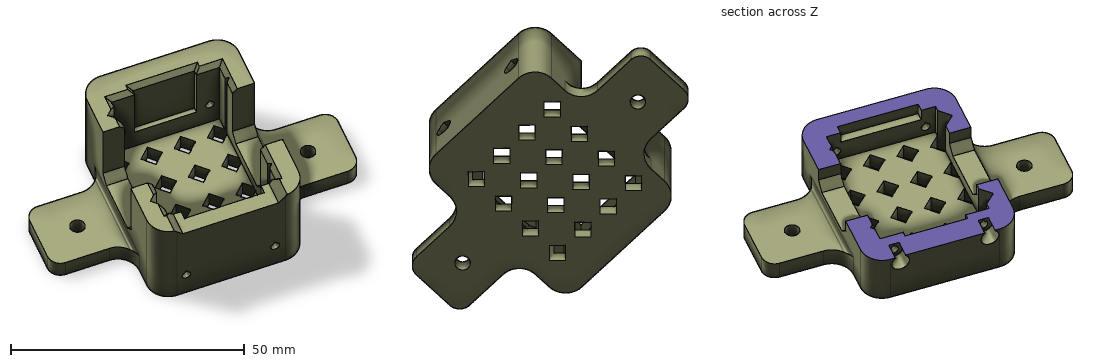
import cadquery as cq
import math

body_length = 44.0
body_width = 34.9
body_height = 23.5
body_corner_radius = 5.0

overall_width = 71.0
ear_width = 16.05
ear_thickness = 4.3
ear_corner_radius = 3.0
ear_side_radius = 5.0
ear_root_fillet = 1.0
ear_hole_diameter = 3.3
ear_hole_spacing = 53.1

cavity_length = 31.9
cavity_width = 24.85
cavity_offset_x = 0.5
cavity_offset_y = -0.1
cavity_floor = 3.8
rim_chamfer = 1.15
cavity_left = cavity_offset_x - cavity_length / 2
cavity_right = cavity_offset_x + cavity_length / 2

recess_floor = 8.95
left_recess_depth = 1.15
left_recess_width = 14.2
right_recess_depth = 1.9
right_recess_width = 18.4

wall_drop = 2.0
wall_drop_width = 22.0

slot_width = ear_width
slot_floor = 6.7
slot_chamfer = 2.0

diamond_diagonal = 4.9
diamond_count = 4
diamond_pitch_x = 8.2
diamond_pitch_y = 7.7
diamond_offset_y = -0.9

screw_hole_diameter = 2.0
screw_head_diameter = 4.05
screw_head_depth = 4.0
screw_spacing = 20.45
left_screw_height = 10.0
right_screw_height = 6.25


def block(x_min, x_max, y_min, y_max, z_min, z_max):
    """Box given by its limits along each axis."""
    size = (x_max - x_min, y_max - y_min, z_max - z_min)
    return cq.Workplane("XY").box(*size, centered=False).translate((x_min, y_min, z_min))


def make_body():
    outline = cq.Workplane("XY").rect(body_length, body_width)
    return outline.extrude(body_height).edges("|Z").fillet(body_corner_radius)


def make_ears():
    """Both ears, as one strip that runs through under the body."""
    half_ear = ear_width / 2
    half_body = body_width / 2
    half_overall = overall_width / 2
    root_height = ear_thickness + ear_root_fillet

    strip = cq.Workplane("XY").rect(ear_width, overall_width).extrude(root_height)
    strip = strip.edges("|Z").fillet(ear_corner_radius)
    for side_x in (-1, 1):
        for side_y in (-1, 1):
            root_x = side_x * (half_ear + ear_side_radius)
            blend_y = side_y * (half_body + ear_side_radius)
            gusset = (
                cq.Workplane("XY")
                .moveTo(0, side_y * half_body)
                .lineTo(root_x, side_y * half_body)
                .radiusArc((side_x * half_ear, blend_y), side_x * side_y * ear_side_radius)
                .lineTo(0, blend_y)
                .close()
                .extrude(root_height)
            )
            strip = strip.union(gusset)

    fillet_y = half_body + ear_root_fillet
    side_profile = (
        cq.Workplane("YZ")
        .moveTo(-half_overall, 0)
        .lineTo(half_overall, 0)
        .lineTo(half_overall, ear_thickness)
        .lineTo(fillet_y, ear_thickness)
        .radiusArc((half_body, root_height), ear_root_fillet)
        .lineTo(-half_body, root_height)
        .radiusArc((-fillet_y, ear_thickness), ear_root_fillet)
        .lineTo(-half_overall, ear_thickness)
        .close()
        .extrude(body_length / 2, both=True)
    )
    holes = (
        cq.Workplane("XY")
        .pushPoints([(0, -ear_hole_spacing / 2), (0, ear_hole_spacing / 2)])
        .circle(ear_hole_diameter / 2)
        .extrude(root_height)
    )
    return strip.intersect(side_profile).cut(holes)


def flared_opening(x_min, x_max, width, floor):
    """Rectangular opening down to `floor` whose rim is chamfered at the body top."""
    opening = block(x_min, x_max, -width / 2, width / 2, floor, body_height)
    length = x_max - x_min
    flare = (
        cq.Workplane("XY", origin=((x_min + x_max) / 2, 0, body_height - rim_chamfer))
        .rect(length, width)
        .workplane(offset=rim_chamfer)
        .rect(length + 2 * rim_chamfer, width + 2 * rim_chamfer)
        .loft()
    )
    return opening.union(flare)


def make_cavity():
    cavity = flared_opening(cavity_left, cavity_right, cavity_width, cavity_floor)
    left_recess = flared_opening(
        cavity_left - left_recess_depth, cavity_offset_x, left_recess_width, recess_floor
    )
    right_recess = block(
        cavity_offset_x,
        cavity_right + right_recess_depth,
        -right_recess_width / 2,
        right_recess_width / 2,
        recess_floor,
        body_height,
    )
    cavity = cavity.union(left_recess).union(right_recess)
    return cavity.translate((0, cavity_offset_y, 0))


def make_wall_drop():
    half_bottom = wall_drop_width / 2
    half_top = half_bottom + wall_drop
    return (
        cq.Workplane("YZ", origin=(cavity_right, cavity_offset_y, 0))
        .polyline([
            (-half_bottom, body_height - wall_drop),
            (half_bottom, body_height - wall_drop),
            (half_top, body_height),
            (-half_top, body_height),
        ])
        .close()
        .extrude(body_length / 2 - cavity_right)
    )


def make_slot():
    """Slot along Y with chamfered bottom corners."""
    slot = block(
        -slot_width / 2, slot_width / 2, -body_width / 2, body_width / 2, slot_floor, body_height
    )
    return slot.edges("|Y and <Z").chamfer(slot_chamfer)


def make_diamonds():
    """Diamond holes that also groove the side walls, but pass beneath the sills of the slots."""
    diamonds = (
        cq.Workplane("XY", origin=(cavity_offset_x, diamond_offset_y, 0))
        .rarray(diamond_pitch_x, diamond_pitch_y, diamond_count, diamond_count)
        .polygon(4, diamond_diagonal)
        .extrude(body_height)
    )
    for side in (-1, 1):
        inner_face = cavity_offset_y + side * cavity_width / 2
        wall_edges = sorted((inner_face, side * body_width / 2))
        sill = block(-slot_width / 2, slot_width / 2, *wall_edges, cavity_floor, body_height)
        diamonds = diamonds.cut(sill)
    return diamonds


def teardrop(diameter, x_min, x_max, y, z):
    """Hole along X whose roof comes to a 90 degree point."""
    radius = diameter / 2
    length = x_max - x_min
    plane = cq.Workplane("YZ", origin=(x_min, y, z))
    bore = plane.circle(radius).extrude(length)
    half_diagonal = radius / math.sqrt(2)
    roof = plane.polyline([
        (0, 0),
        (half_diagonal, half_diagonal),
        (0, 2 * half_diagonal),
        (-half_diagonal, half_diagonal),
    ])
    return bore.union(roof.close().extrude(length))


def make_screw_holes():
    half_length = body_length / 2
    head_seat = screw_head_depth - half_length
    holes = cq.Workplane("XY")
    for side in (-1, 1):
        y = cavity_offset_y + side * screw_spacing / 2
        left_hole = teardrop(screw_hole_diameter, -half_length, cavity_offset_x, y, left_screw_height)
        left_head = teardrop(screw_head_diameter, -half_length, head_seat, y, left_screw_height)
        right_hole = teardrop(screw_hole_diameter, cavity_offset_x, half_length, y, right_screw_height)
        holes = holes.union(left_hole).union(left_head).union(right_hole)
    return holes


result = (
    make_body()
    .union(make_ears())
    .cut(make_cavity())
    .cut(make_wall_drop())
    .cut(make_slot())
    .cut(make_diamonds())
    .cut(make_screw_holes())
)